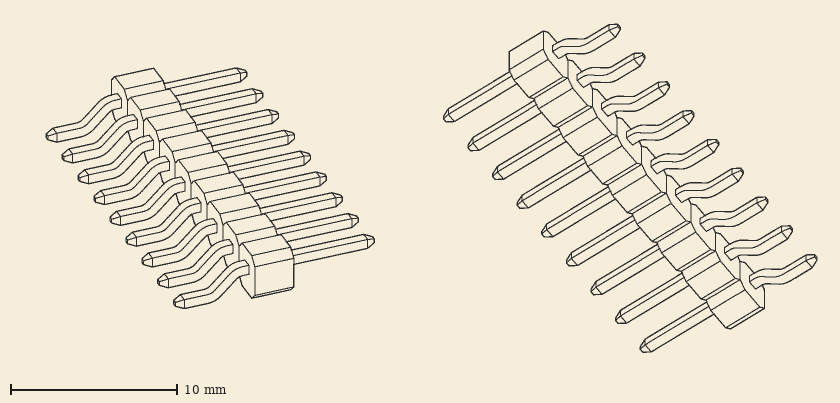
import cadquery as cq
import math


segment_count = 9
row_length = 22.85
pitch = row_length / segment_count

block_height = 3.05
block_depth = pitch
corner_chamfer = 0.5

pin_thickness = 0.65
tip_length = 0.5
tip_thickness = 0.27
pin_axis_height = block_height - pitch / 2
back_reach = 5.7
front_reach = 4.7

bend_angle = math.radians(43.5)
bend_radius = 0.95
lead_out = 0.4
foot_axis_height = pin_thickness / 2

back_tip_y = block_depth / 2 + back_reach
front_tip_y = -block_depth / 2 - front_reach
back_shank_y = back_tip_y - tip_length
front_shank_y = front_tip_y + tip_length


def make_block():
    """Rectangular block with its four edges along Y chamfered."""
    return (
        cq.Workplane("XY")
        .box(pitch, block_depth, block_height, centered=(True, True, False))
        .edges("|Y")
        .chamfer(corner_chamfer)
    )


def make_shank():
    """Square wire swept from the straight end, through both bends, to the foot."""
    arc_run = bend_radius * math.sin(bend_angle)
    arc_drop = bend_radius * (1 - math.cos(bend_angle))
    slope_drop = pin_axis_height - foot_axis_height - 2 * arc_drop
    slope_run = slope_drop / math.tan(bend_angle)

    upper_start = (-block_depth / 2 - lead_out, pin_axis_height)
    upper_end = (upper_start[0] - arc_run, pin_axis_height - arc_drop)
    lower_start = (upper_end[0] - slope_run, foot_axis_height + arc_drop)
    lower_end = (lower_start[0] - arc_run, foot_axis_height)

    path = (
        cq.Workplane("YZ")
        .moveTo(back_shank_y, pin_axis_height)
        .lineTo(*upper_start)
        .tangentArcPoint(upper_end, relative=False)
        .lineTo(*lower_start)
        .tangentArcPoint(lower_end, relative=False)
        .lineTo(front_shank_y, foot_axis_height)
    )
    return (
        cq.Workplane("XZ", origin=(0, back_shank_y, pin_axis_height))
        .rect(pin_thickness, pin_thickness)
        .sweep(path)
    )


def make_tip(base_y, axis_height, direction):
    """Tapered tip growing from base_y toward +Y (direction 1) or -Y (direction -1)."""
    base_plane = cq.Plane(origin=(0, base_y, axis_height), xDir=(1, 0, 0), normal=(0, direction, 0))
    return (
        cq.Workplane(base_plane)
        .rect(pin_thickness, pin_thickness)
        .workplane(offset=tip_length)
        .rect(tip_thickness, tip_thickness)
        .loft(ruled=True)
    )


def make_segment():
    """One block and the pin through it, as a single solid."""
    back_tip = make_tip(back_shank_y, pin_axis_height, 1)
    front_tip = make_tip(front_shank_y, foot_axis_height, -1)
    return make_block().union(make_shank()).union(back_tip).union(front_tip).solids()


segment = make_segment()
segments = []
for index in range(segment_count):
    segment_x = (index - (segment_count - 1) / 2) * pitch
    segments.append(segment.translate((segment_x, 0, 0)).val())

result = cq.Compound.makeCompound(segments)